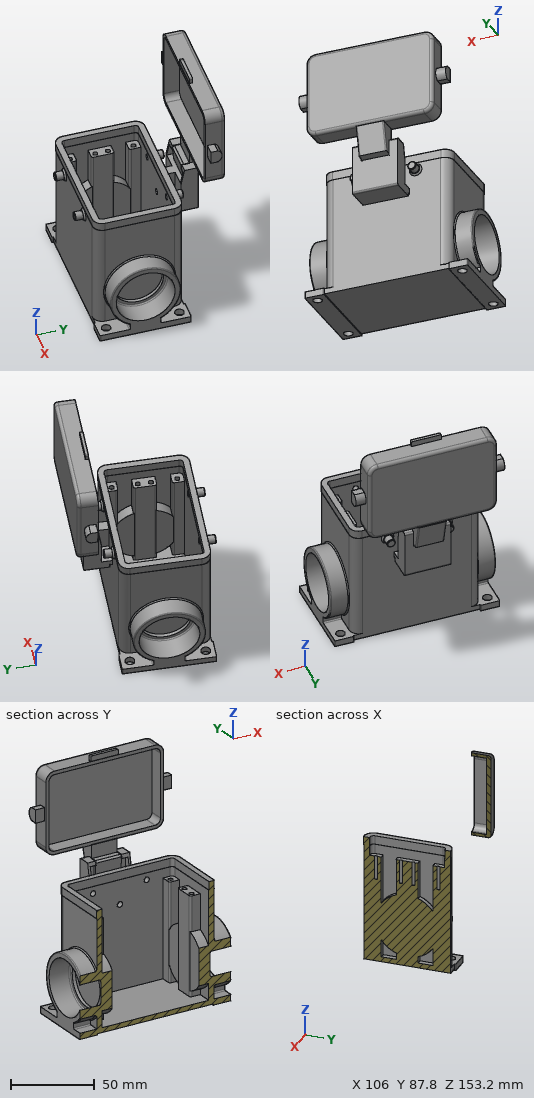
import cadquery as cq

box_length = 82.7
box_width = 55.9
box_bottom = 0.8
box_top = 82.1
corner_radius = 6.1
rim_height = 5.5
rim_step = 0.2
cavity_length = 74.7
cavity_width = 48.0
cavity_floor = 4.3
cavity_radius = 2.1
rim_bottom = box_top - rim_height
wall_back = cavity_width / 2

foot_reach = 53.0
foot_width = 57.3
foot_height = 4.3
foot_edge_radius = 0.5
foot_root_radius = 0.8
pad_reach = 40.6
foot_hole_diameter = 5.7
foot_hole_x = 47.2
foot_hole_y = 23.0

socket_height = 27.5
socket_radius = 21.9
socket_edge_radius = 0.6
socket_root_radius = 0.8
socket_bore_radius = 18.4
socket_bore_floor = 38.5
bore_floor_radius = 0.8
knockout_radius = 15.8
knockout_floor = 36.1
inner_boss_radius = 20.7
inner_boss_end = 30.3
web_width = 19.0

pillar_depth = 7.2
pillar_top = 70.5
corner_pillar_width = 7.5
middle_pillar_width = 14.2
pillar_edge_radius = 1.2
screw_hole_diameter = 2.9
screw_hole_depth = 15.3
screw_hole_x = 33.1
corner_screw_y = 19.9
middle_screw_y = 4.0

stud_x = 18.8
stud_height = 72.0
stud_reach = 34.0
stud_radius = 2.68
stud_chamfer = 0.5
collar_reach = 29.0
collar_root_radius = 4.0
collar_tip_radius = 3.0
stud_core_radius = 1.76
bracket_screw_radius = 1.8
bracket_screw_height = 60.3

lid_length = 82.7
lid_bottom = 94.8
lid_top = 149.6
lid_front = 41.0
lid_back = 53.8
lid_wall = 2.3
lid_floor = 3.0
lid_corner_radius = 6.1
lid_edge_radius = 2.1
lid_height = lid_top - lid_bottom
lid_depth = lid_back - lid_front
lid_middle = (lid_top + lid_bottom) / 2

tab_width = 19.3
tab_depth = 2.0
tab_setback = 0.3
tab_corner_radius = 0.8
tab_top = 153.2
ear_reach = 47.8
ear_front = 42.4
ear_shoulder = 46.9
ear_tip = 49.6
ear_half_height = 4.36

arm_width = 18.0
arm_front = 41.7
arm_bottom = 76.9
arm_heel = 48.9
arm_nose_top = 85.6
arm_nose_edge = 38.0
arm_nose_tip = 36.6
arm_nose_drop = 1.0
arm_toe = 37.4
arm_edge_radius = 0.8

bracket_width = 29.5
bracket_back = 45.3
bracket_front = 34.5
bracket_bottom = 54.4
bracket_top = 86.0
bracket_top_front = 36.6
bracket_slope_bottom = 75.5
bracket_edge_radius = 1.0
shelf_top = 60.0
shelf_notch_depth = 1.5
shelf_notch_height = 2.0
bracket_web_width = 6.3
fork_pocket_width = 26.5
fork_pocket_top = 83.5
fork_pocket_back = 38.9


def block(x_range, y_range, z_range):
    """Box between the given limits."""
    size = [limits[1] - limits[0] for limits in (x_range, y_range, z_range)]
    start = (x_range[0], y_range[0], z_range[0])
    return cq.Workplane("XY").box(*size, centered=False).translate(start)


def rounded_block(length, width, bottom, top, radius):
    """Upright block centred on the Z axis with rounded vertical edges."""
    slab = cq.Workplane("XY").workplane(offset=bottom).rect(length, width).extrude(top - bottom)
    return slab.edges("|Z").fillet(radius)


def rod_x(radius, start, end, height):
    """Cylinder along X at Y = 0."""
    return cq.Workplane("YZ").workplane(offset=start).center(0, height).circle(radius).extrude(end - start)


def rod_y(radius, x, start, end, height):
    """Cylinder along +Y."""
    rod = cq.Solid.makeCylinder(radius, end - start, cq.Vector(x, start, height), cq.Vector(0, 1, 0))
    return cq.Workplane(rod)


def profile_yz(points, width):
    """Closed Y-Z outline extruded symmetrically in X."""
    return cq.Workplane("YZ").polyline(points).close().extrude(width / 2, both=True)


def both_ends(shape):
    """The shape on the +X end together with its mirror image on the -X end."""
    return shape.union(shape.mirror("YZ"))


def make_shell():
    """Outer shell with square pads under its corners, and the cavity to cut from it."""
    inset = 2 * rim_step
    wall_length = box_length - inset
    wall_width = box_width - inset
    walls = rounded_block(wall_length, wall_width, foot_height, rim_bottom, corner_radius)
    wall_side = wall_width / 2
    pad = block((-pad_reach, pad_reach), (-wall_side, wall_side), (box_bottom, foot_height))
    rim = rounded_block(box_length, box_width, rim_bottom, box_top, corner_radius)
    cavity = rounded_block(cavity_length - inset, cavity_width - inset, cavity_floor, rim_bottom, cavity_radius)
    mouth = rounded_block(cavity_length, cavity_width, rim_bottom, box_top, cavity_radius)
    return walls.union(rim).union(pad), cavity.union(mouth)


def make_foot():
    """Mounting foot on the +X end with the web that carries the socket."""
    half_width = foot_width / 2
    foot = block((pad_reach, foot_reach), (-half_width, half_width), (0, foot_height))
    foot = foot.edges("|Z").fillet(foot_edge_radius)
    web_half = web_width / 2
    web = block((pad_reach, foot_reach), (-web_half, web_half), (0, socket_height))
    foot = foot.union(web)
    web_corners = cq.selectors.BoxSelector(
        (pad_reach, -web_half - foot_edge_radius, foot_height - foot_edge_radius),
        (foot_reach, web_half + foot_edge_radius, foot_height + foot_edge_radius),
    )
    foot = foot.edges(web_corners).edges("|X").fillet(foot_root_radius)
    holes = (
        cq.Workplane("XY")
        .pushPoints([(foot_hole_x, -foot_hole_y), (foot_hole_x, foot_hole_y)])
        .circle(foot_hole_diameter / 2)
        .extrude(foot_height)
    )
    return foot.cut(holes)


def make_socket():
    """Outside of a cable socket with a small conical root at the wall."""
    wall = box_length / 2 - rim_step
    tube = rod_x(socket_radius, wall - rim_step, foot_reach, socket_height)
    tube = tube.faces(">X").edges().fillet(socket_edge_radius)
    root = cq.Solid.makeCone(
        socket_radius + socket_root_radius,
        socket_radius,
        socket_root_radius,
        cq.Vector(wall, 0, socket_height),
        cq.Vector(1, 0, 0),
    )
    return tube.union(cq.Workplane(root))


def make_socket_bore():
    """Blind bore of the +X socket with a shallower knockout recess in its floor."""
    bore = rod_x(socket_bore_radius, socket_bore_floor, foot_reach, socket_height)
    bore = bore.faces("<X").edges().fillet(bore_floor_radius)
    knockout = rod_x(knockout_radius, knockout_floor, foot_reach, socket_height)
    return bore.union(knockout)


def make_pillars():
    """Three screw pillars and the inner boss of the socket on the +X end."""
    outer = (box_length + cavity_length) / 4
    inner = cavity_length / 2 - pillar_depth
    corner_start = wall_back - corner_pillar_width
    outer_side = (box_width + cavity_width) / 4
    pillars = rod_x(inner_boss_radius, inner_boss_end, outer, socket_height)
    for y_range in (
        (-outer_side, -corner_start),
        (-middle_pillar_width / 2, middle_pillar_width / 2),
        (corner_start, outer_side),
    ):
        pillar = block((inner, outer), y_range, (cavity_floor, pillar_top))
        pillars = pillars.union(pillar.edges("|Z and <X").fillet(pillar_edge_radius))
    return pillars


def make_screw_holes():
    """Blind screw holes in the pillar tops on the +X end."""
    rows = (-corner_screw_y, -middle_screw_y, middle_screw_y, corner_screw_y)
    return (
        cq.Workplane("XY")
        .workplane(offset=pillar_top - screw_hole_depth)
        .pushPoints([(screw_hole_x, y) for y in rows])
        .circle(screw_hole_diameter / 2)
        .extrude(screw_hole_depth)
    )


def make_stud(x):
    """Stud with a conical collar on the +Y wall."""
    wall = box_width / 2 - rim_step
    stud = rod_y(stud_radius, x, wall - rim_step, stud_reach, stud_height)
    stud = stud.faces(">Y").edges().chamfer(stud_chamfer)
    collar = cq.Solid.makeCone(
        collar_root_radius,
        collar_tip_radius,
        collar_reach - wall,
        cq.Vector(x, wall, stud_height),
        cq.Vector(0, 1, 0),
    )
    return stud.union(cq.Workplane(collar))


def make_housing():
    """Housing with feet, sockets, pillars and studs."""
    shell, cavity = make_shell()
    housing = shell.union(both_ends(make_foot())).union(both_ends(make_socket())).cut(cavity)
    housing = housing.union(both_ends(make_pillars()))
    housing = housing.cut(both_ends(make_screw_holes())).cut(both_ends(make_socket_bore()))
    outer_wall = box_width / 2
    for x in (-stud_x, stud_x):
        stud = make_stud(x)
        core = rod_y(stud_core_radius, x, 0, outer_wall, stud_height)
        for side in (stud, stud.mirror("XZ")):
            housing = housing.union(side)
        housing = housing.cut(core).cut(core.mirror("XZ"))
    return housing.cut(rod_y(bracket_screw_radius, 0, 0, outer_wall, bracket_screw_height))


def make_lid_shell():
    """Shallow tray, open toward -Y."""
    lid = (
        cq.Workplane("XZ", origin=(0, lid_back, lid_middle))
        .rect(lid_length, lid_height)
        .extrude(lid_depth)
        .edges("|Y")
        .fillet(lid_corner_radius)
        .faces(">Y")
        .edges()
        .fillet(lid_edge_radius)
    )
    recess = (
        cq.Workplane("XZ", origin=(0, lid_back - lid_floor, lid_middle))
        .rect(lid_length - 2 * lid_wall, lid_height - 2 * lid_wall)
        .extrude(lid_depth - lid_floor)
        .edges("|Y")
        .fillet(lid_corner_radius - lid_wall)
    )
    return lid.cut(recess)


def make_lid_ear():
    """Side ear on the +X end with a rounded back."""
    start = lid_length / 2 - lid_wall
    top = lid_middle + ear_half_height
    bottom = lid_middle - ear_half_height
    return (
        cq.Workplane("YZ")
        .workplane(offset=start)
        .moveTo(ear_front, bottom)
        .lineTo(ear_shoulder, bottom)
        .threePointArc((ear_tip, lid_middle), (ear_shoulder, top))
        .lineTo(ear_front, top)
        .close()
        .extrude(ear_reach - start)
    )


def make_hinge_arm():
    """Arm below the lid with a slanted back and a nose toward the housing."""
    root = lid_bottom + lid_wall
    arm = profile_yz(
        [
            (arm_front, root),
            (lid_back - lid_floor, root),
            (lid_back - lid_edge_radius / 4, lid_bottom),
            (arm_heel, arm_bottom),
            (arm_toe, bracket_slope_bottom),
            (arm_nose_tip, arm_nose_top - arm_nose_drop),
            (arm_nose_edge, arm_nose_top),
            (arm_front, arm_nose_top),
        ],
        arm_width,
    )
    slanted_back = cq.selectors.BoxSelector(
        (-arm_width, arm_heel - lid_wall, arm_bottom),
        (arm_width, lid_back, lid_bottom),
    )
    return arm.edges(slanted_back).edges("not |X").edges(">X or <X").fillet(arm_edge_radius)


def make_lid():
    """Lid with its ears, opening tab and hinge arm."""
    tab_front = lid_front + tab_setback
    tab = block(
        (-tab_width / 2, tab_width / 2),
        (tab_front, tab_front + tab_depth),
        (lid_top - lid_wall, tab_top),
    )
    tab = tab.edges("|Y and >Z").fillet(tab_corner_radius)
    return make_lid_shell().union(both_ends(make_lid_ear())).union(tab).union(make_hinge_arm())


def make_bracket():
    """Forked hinge bracket fixed to the back wall of the housing."""
    wall = box_width / 2 - rim_step
    notch_front = wall + shelf_notch_depth
    body = profile_yz(
        [
            (wall, shelf_top),
            (wall, bracket_bottom + shelf_notch_height),
            (notch_front, bracket_bottom + shelf_notch_height),
            (notch_front, bracket_bottom),
            (bracket_back, bracket_bottom),
            (bracket_back, bracket_top),
            (bracket_top_front, bracket_top),
            (bracket_front, bracket_slope_bottom),
            (bracket_front, shelf_top),
        ],
        bracket_width,
    )
    body = body.faces(">Y").edges("|X").fillet(bracket_edge_radius)
    web_half = bracket_web_width / 2
    web = block((-web_half, web_half), (wall, bracket_front), (shelf_top, bracket_slope_bottom))
    slot = block(
        (-arm_width / 2, arm_width / 2),
        (bracket_front, bracket_back),
        (bracket_slope_bottom, bracket_top),
    )
    pocket = block(
        (-fork_pocket_width / 2, fork_pocket_width / 2),
        (bracket_front, fork_pocket_back),
        (bracket_slope_bottom, fork_pocket_top),
    )
    return body.union(web).cut(slot).cut(pocket)


housing = make_housing()
lid = make_lid()
bracket = make_bracket()

result = cq.Compound.makeCompound([housing.val(), lid.val(), bracket.val()])